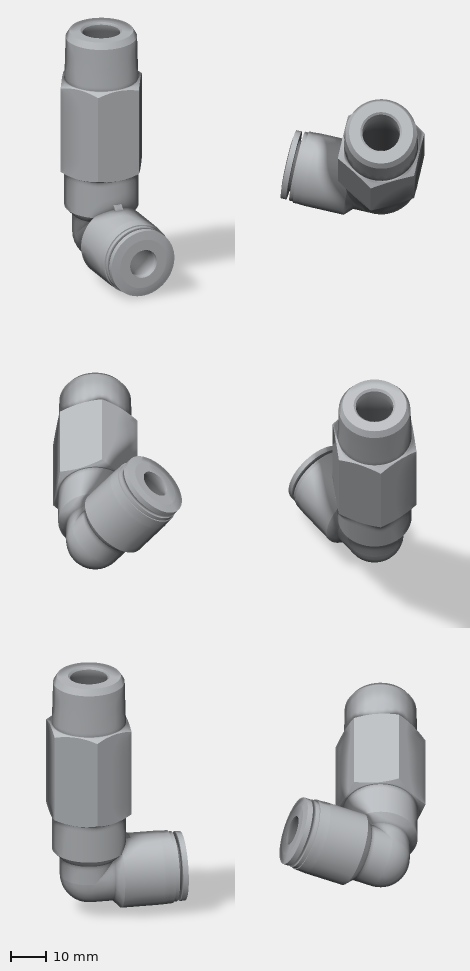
import cadquery as cq
import math

total_height = 72.0
overall_length = 38.4
body_diameter = 21.0
body_radius = body_diameter / 2
axis_height = body_radius
elbow_radius = 8.3

collar_cone_bottom = 16.3
collar_bottom = 18.6
hex_bottom = 29.7
hex_top = 57.6
hex_corner_diameter = 25.6
hex_chamfer_face_radius = 10.9
hex_chamfer_angle = 30.0

thread_tip_radius = 10.15
thread_end_radius = 9.1
thread_chamfer_bottom = 70.2

body_cone_start = 6.3
body_start = 8.5
body_taper_start = 20.15
body_taper_end = 23.25
body_taper_radius = 10.4
sleeve_radius = 20.0 / 2
sleeve_end = 24.4
neck_radius = 14.6 / 2
flange_start = 25.35
flange_end = 26.9
flange_radius = 19.8 / 2
release_end = overall_length - hex_corner_diameter / 2 * math.cos(math.radians(30))

inlet_diameter = 10.65
inlet_mouth_diameter = 11.8
passage_diameter = 8.4

rib_width = 2.45
rib_reach = 11.8


def revolve_vertical(profile):
    """Revolve (radius, height) points about the vertical axis."""
    points = [(0, profile[0][1])] + profile + [(0, profile[-1][1])]
    return cq.Workplane("XZ").polyline(points).close().revolve(360, (0, 0), (0, 1))


def revolve_horizontal(profile):
    """Revolve (distance, radius) points about the horizontal axis."""
    points = [(profile[0][0], 0)] + profile + [(profile[-1][0], 0)]
    plane = cq.Workplane("XZ", origin=(0, 0, axis_height))
    return plane.polyline(points).close().revolve(360, (0, 0), (1, 0))


def make_bend(radius, top, right):
    """Round-ended mitred elbow running up to height top and out to X = right."""
    center = (0, 0, axis_height)
    upright = cq.Workplane("XY", origin=center).circle(radius).extrude(top - axis_height)
    branch = cq.Workplane("YZ", origin=center).circle(radius).extrude(right)
    ball = cq.Workplane("XY", origin=center).sphere(radius)
    return upright.union(branch).union(ball)


def make_hexagon():
    """Hexagon with corners on +Y and -Y, chamfered at both ends."""
    height = hex_top - hex_bottom
    corner_radius = hex_corner_diameter / 2
    prism = (
        cq.Workplane("XY", origin=(0, 0, hex_bottom))
        .polygon(6, hex_corner_diameter)
        .extrude(height)
        .rotate((0, 0, 0), (0, 0, 1), 30)
    )
    drop = (corner_radius - hex_chamfer_face_radius) * math.tan(math.radians(hex_chamfer_angle))
    envelope = revolve_vertical([
        (hex_chamfer_face_radius, hex_bottom),
        (corner_radius, hex_bottom + drop),
        (corner_radius, hex_top - drop),
        (hex_chamfer_face_radius, hex_top),
    ])
    return prism.intersect(envelope)


def make_collar():
    return revolve_vertical([
        (elbow_radius, collar_cone_bottom),
        (body_radius, collar_bottom),
        (body_radius, hex_bottom),
    ])


def make_thread():
    return revolve_vertical([
        (body_radius, hex_top),
        (thread_tip_radius, thread_chamfer_bottom),
        (thread_end_radius, total_height),
    ])


def make_push_in_body():
    return revolve_horizontal([
        (body_cone_start, elbow_radius),
        (body_start, body_radius),
        (body_taper_start, body_radius),
        (body_taper_end, body_taper_radius),
        (body_taper_end, sleeve_radius),
        (sleeve_end, sleeve_radius),
        (sleeve_end, neck_radius),
        (flange_start, neck_radius),
        (flange_start, flange_radius),
        (flange_end, flange_radius),
        (release_end, neck_radius),
    ])


def make_rib():
    """Small 45 degree web in the corner between the collar and the branch body."""
    branch_top = axis_height + body_radius
    root_x = body_start
    return (
        cq.Workplane("XZ")
        .polyline([
            (root_x, branch_top + rib_reach - root_x),
            (rib_reach, branch_top),
            (rib_reach, collar_bottom),
            (root_x, collar_bottom),
        ])
        .close()
        .extrude(rib_width / 2, both=True)
    )


def make_passages():
    """Mitred through passage, the wider threaded-end bore and its chamfered mouth."""
    mouth_depth = (inlet_mouth_diameter - inlet_diameter) / 2
    inlet = revolve_vertical([
        (inlet_diameter / 2, hex_bottom),
        (inlet_diameter / 2, total_height - mouth_depth),
        (inlet_mouth_diameter / 2, total_height),
    ])
    return make_bend(passage_diameter / 2, hex_top, release_end).union(inlet)


result = (
    make_bend(elbow_radius, collar_bottom, body_start)
    .union(make_collar())
    .union(make_hexagon())
    .union(make_thread())
    .union(make_push_in_body())
    .union(make_rib())
    .cut(make_passages())
)